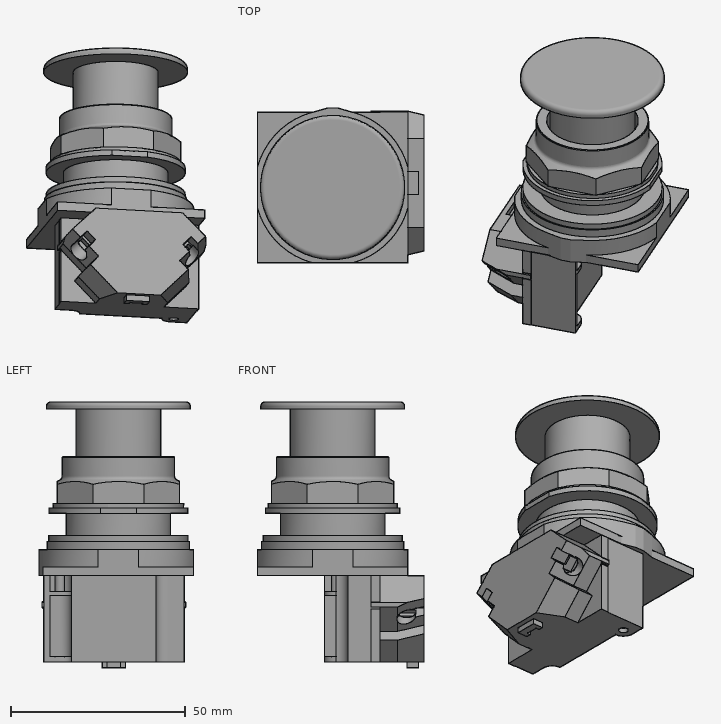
import cadquery as cq
import math

TAB_BOTTOM = 0.0
BLOCK_BOTTOM = 1.7
PLATE_BOTTOM = 26.35
PLATE_TOP = 28.9
FLANGE_TOP = 33.8
LOWER_STEP_TOP = 36.15
UPPER_STEP_TOP = 37.8
WASHER_BOTTOM = 44.15
WASHER_TOP = 45.7
NUT_BOTTOM = 46.95
COLLAR_TOP = 60.3
DISC_BOTTOM = 73.9
BUTTON_TOP = 76.0

DISC_RADIUS = 20.6
DISC_ROUNDING = 1.3
STEM_RADIUS = 12.15

PLATE_HALF = 21.5
FLANGE_RADIUS = 22.25
BUMP_REACH = 22.7
BUMP_TIP_HALF = 1.5
LOWER_STEP_RADIUS = 20.35
UPPER_STEP_RADIUS = 19.9
NECK_RADIUS = 15.0
WASHER_RADIUS = 19.9
WASHER_FLAT = 19.2
SPACER_RADIUS = 18.7
SPACER_FLAT = 18.45
NUT_SIDES = 8
NUT_FLAT_TO_FLAT = 35.0
NUT_CHAMFER_ANGLE = 30.0
NUT_FACE_TOP = 53.25
NUT_FILLET = 1.0
COLLAR_RADIUS = 16.1
COLLAR_CHAMFER = 0.2
BORE_RADIUS = 13.1
BORE_FLOOR = 54.5

BLOCK_Y = 1.3
BLOCK_FRONT = 1.0
PANEL_START = 10.95
TERMINAL_START = 13.5
BLOCK_END = 26.1
BLOCK_HALF = 20.0
PANEL_HALF = 20.1
RIB_HALF = 20.6
RIB_BOTTOM = 17.3
RIB_TOP = 18.7
PANEL_SLOT_BOTTOM = 16.9
PANEL_SLOT_TOP = 18.85
CORNER_RADIUS = 3.35
CORNER_OFFSET = 15.4

TERMINAL_TOP_HALF = 12.7
VALLEY_Z = 10.4
LOWER_TIP_Z = 7.9
BEVEL_START = 18.45
BEVEL_RISE = 1.8

SCREW_X = 21.1
SCREW_Z = 13.9
SCREW_RADIUS = 2.7
SCREW_DEPTH = 3.35
CHANNEL_WIDTH = 3.4
CHANNEL_DEPTH = 5.3
CHANNEL_SHIFT = 0.8
CLAMP_SLOT_LENGTH = 5.3
CLAMP_SLOT_WIDTH = 4.25
CLAMP_SLOT_DEPTH = 4.55

LUG_WALL = 1.7
LOWER_SHELF_TOP = 3.2
UPPER_SHELF_BOTTOM = 20.7
UPPER_SHELF_TOP = 21.9
LUG_PIN_RADIUS = 1.4

TAB_START = 21.2
TAB_END = 24.55
TAB_HALF = 3.35
TAB_HEIGHT = BLOCK_BOTTOM - TAB_BOTTOM
TAB_GROOVE_HALF = 1.9
TAB_GROOVE_DEPTH = 1.15

CUT_MARGIN = 7.6


def box(x0, x1, y0, y1, z0, z1):
    return cq.Workplane("XY").box(x1 - x0, y1 - y0, z1 - z0, centered=False).translate((x0, y0, z0))


def centred_box(x0, x1, half, z0, z1):
    """A box whose width is centred on the mid-plane of the contact block."""
    return box(x0, x1, BLOCK_Y - half, BLOCK_Y + half, z0, z1)


def cylinder(radius, z0, z1, x=0.0, y=0.0):
    return cq.Workplane("XY", origin=(x, y, z0)).circle(radius).extrude(z1 - z0)


def make_button():
    disc = cylinder(DISC_RADIUS, DISC_BOTTOM, BUTTON_TOP).faces(">Z").edges().fillet(DISC_ROUNDING)
    return disc.union(cylinder(STEM_RADIUS, BORE_FLOOR, DISC_BOTTOM))


def make_mounting_plate():
    """Square plate under a round flange that is trimmed to the square, with a bump on the +Y side."""
    square = centred_square(PLATE_BOTTOM, FLANGE_TOP)
    flange = cylinder(FLANGE_RADIUS, PLATE_BOTTOM, FLANGE_TOP).intersect(square)
    bump_root_half = math.sqrt(FLANGE_RADIUS**2 - PLATE_HALF**2)
    bump = (
        cq.Workplane("XY", origin=(0, 0, PLATE_BOTTOM))
        .moveTo(-bump_root_half, PLATE_HALF)
        .lineTo(-BUMP_TIP_HALF, BUMP_REACH)
        .lineTo(BUMP_TIP_HALF, BUMP_REACH)
        .lineTo(bump_root_half, PLATE_HALF)
        .lineTo(0, 0)
        .close()
        .extrude(FLANGE_TOP - PLATE_BOTTOM)
    )
    return centred_square(PLATE_BOTTOM, PLATE_TOP).union(flange).union(bump)


def centred_square(z0, z1):
    return box(-PLATE_HALF, PLATE_HALF, -PLATE_HALF, PLATE_HALF, z0, z1)


def flatted_ring(radius, flat, z0, z1):
    """A disc with two flats facing -X and +X."""
    return cylinder(radius, z0, z1).intersect(box(-flat, flat, -radius, radius, z0, z1))


def make_nut():
    """Octagonal nut whose top is a cone that runs into the collar through a fillet."""
    flat_radius = NUT_FLAT_TO_FLAT / 2
    corner_radius = flat_radius / math.cos(math.pi / NUT_SIDES)
    slope = math.tan(math.radians(NUT_CHAMFER_ANGLE))

    def cone_z(radius):
        return NUT_FACE_TOP + (flat_radius - radius) * slope

    octagon = (
        cq.Workplane("XY", origin=(0, 0, NUT_BOTTOM))
        .polygon(NUT_SIDES, 2 * corner_radius)
        .extrude(COLLAR_TOP - NUT_BOTTOM)
        .rotate((0, 0, 0), (0, 0, 1), 180 / NUT_SIDES)
    )
    rim_radius = corner_radius + CUT_MARGIN
    turned = (
        cq.Workplane("XZ")
        .moveTo(0, NUT_BOTTOM)
        .lineTo(rim_radius, NUT_BOTTOM)
        .lineTo(rim_radius, cone_z(rim_radius))
        .lineTo(COLLAR_RADIUS, cone_z(COLLAR_RADIUS))
        .lineTo(COLLAR_RADIUS, COLLAR_TOP)
        .lineTo(0, COLLAR_TOP)
        .close()
        .revolve(360, (0, 0, 0), (0, 1, 0))
    )
    collar_foot = cq.selectors.BoxSelector(
        (-rim_radius, -rim_radius, cone_z(COLLAR_RADIUS) - COLLAR_CHAMFER),
        (rim_radius, rim_radius, cone_z(COLLAR_RADIUS) + COLLAR_CHAMFER),
    )
    turned = turned.edges(collar_foot).edges("%CIRCLE").fillet(NUT_FILLET)
    turned = turned.faces(">Z").edges().chamfer(COLLAR_CHAMFER)
    return turned.intersect(octagon)


def make_operator():
    operator = (
        make_mounting_plate()
        .union(cylinder(LOWER_STEP_RADIUS, FLANGE_TOP, LOWER_STEP_TOP))
        .union(cylinder(UPPER_STEP_RADIUS, LOWER_STEP_TOP, UPPER_STEP_TOP))
        .union(cylinder(NECK_RADIUS, UPPER_STEP_TOP, WASHER_BOTTOM))
        .union(flatted_ring(WASHER_RADIUS, WASHER_FLAT, WASHER_BOTTOM, WASHER_TOP))
        .union(flatted_ring(SPACER_RADIUS, SPACER_FLAT, WASHER_TOP, NUT_BOTTOM))
        .union(make_nut())
    )
    return operator.cut(cylinder(BORE_RADIUS, BORE_FLOOR, COLLAR_TOP))


def slope_plane(x, half, z):
    """Plane on a -Y undercut: local x along X, local y square into the slope, normal up the slope."""
    return cq.Plane(origin=(x, BLOCK_Y - half, z), xDir=(1, 0, 0), normal=(0, -1, 1))


def make_bevel(half, z, start, end):
    """Wedge that trims an undercut deeper and deeper towards +X.

    It runs up the slope from start to end, both measured from the point (half, z).
    """
    run = BLOCK_END - BEVEL_START
    depth = BEVEL_RISE * math.sqrt(2)
    slope = slope_plane(BEVEL_START, half, z)
    return (
        cq.Workplane(slope)
        .polyline([(0, 0), (run, 0), (run, depth)])
        .close()
        .extrude(end - start)
        .translate(slope.zDir * start)
    )


def make_screw_hole(half, z):
    """Screw hole square to the upper undercut, over a clamp slot, with a wire channel to the +X face."""
    surface = slope_plane(SCREW_X, half, z)
    inward = cq.Plane(origin=surface.origin, xDir=surface.xDir, normal=surface.yDir)
    hole = cq.Workplane(inward).circle(SCREW_RADIUS).extrude(SCREW_DEPTH)
    channel = (
        cq.Workplane(surface)
        .workplane(offset=CHANNEL_SHIFT)
        .box(BLOCK_END - SCREW_X, CHANNEL_DEPTH, CHANNEL_WIDTH, centered=(False, False, True))
    )
    slot = (
        cq.Workplane(surface)
        .center(0, SCREW_DEPTH)
        .box(
            CLAMP_SLOT_LENGTH,
            CLAMP_SLOT_DEPTH - SCREW_DEPTH,
            CLAMP_SLOT_WIDTH,
            centered=(True, False, True),
        )
    )
    return hole.union(channel).union(slot)


def make_terminal_end():
    """The +X end, whose sides each carry two sawtooth ridges."""
    valley_half = RIB_HALF - (RIB_BOTTOM - VALLEY_Z)
    lower_tip_half = valley_half + (VALLEY_Z - LOWER_TIP_Z)
    foot_half = lower_tip_half - (LOWER_TIP_Z - BLOCK_BOTTOM)
    screw_half = RIB_HALF - (RIB_BOTTOM - SCREW_Z)
    side = [
        (TERMINAL_TOP_HALF, PLATE_BOTTOM),
        (RIB_HALF, RIB_TOP),
        (RIB_HALF, RIB_BOTTOM),
        (valley_half, VALLEY_Z),
        (lower_tip_half, LOWER_TIP_Z),
        (foot_half, BLOCK_BOTTOM),
    ]
    outline = side + [(-half, z) for half, z in reversed(side)]
    end = (
        cq.Workplane("YZ", origin=(TERMINAL_START, BLOCK_Y, 0))
        .polyline(outline)
        .close()
        .extrude(BLOCK_END - TERMINAL_START)
    )
    cuts = [
        make_bevel(valley_half, VALLEY_Z, 0, math.sqrt(2) * (RIB_TOP - VALLEY_Z)),
        make_bevel(foot_half, BLOCK_BOTTOM, -CUT_MARGIN, math.sqrt(2) * (LOWER_TIP_Z - BLOCK_BOTTOM)),
        make_screw_hole(screw_half, SCREW_Z),
    ]
    for cut in cuts:
        end = end.cut(cut).cut(cut.mirror("XZ", (0, BLOCK_Y, 0)))
    return end


def make_block_core():
    """Plain part of the block, with a concave quarter round down each of its two -X corners."""
    groove_bottom = BLOCK_FRONT + CORNER_RADIUS
    core = centred_box(BLOCK_FRONT, TERMINAL_START, BLOCK_HALF, BLOCK_BOTTOM, PLATE_BOTTOM)
    for side in (-1, 1):
        groove_y = BLOCK_Y + side * CORNER_OFFSET
        groove_edge = BLOCK_Y + side * BLOCK_HALF
        core = core.cut(cylinder(CORNER_RADIUS, BLOCK_BOTTOM, PLATE_BOTTOM, BLOCK_FRONT, groove_y))
        core = core.cut(
            box(
                BLOCK_FRONT,
                groove_bottom,
                min(groove_y, groove_edge),
                max(groove_y, groove_edge),
                BLOCK_BOTTOM,
                PLATE_BOTTOM,
            )
        )
    return core


def make_side_panels():
    """Slightly raised strips on both sides, slotted where the ribs pass."""
    panels = centred_box(PANEL_START, TERMINAL_START, PANEL_HALF, BLOCK_BOTTOM, PLATE_BOTTOM)
    slots = centred_box(PANEL_START, TERMINAL_START, PANEL_HALF, PANEL_SLOT_BOTTOM, PANEL_SLOT_TOP)
    ribs = centred_box(PANEL_START, TERMINAL_START, RIB_HALF, RIB_BOTTOM, RIB_TOP)
    return panels.cut(slots).union(ribs)


def make_shelf(z0, z1):
    """Shelf that fills the +Y corner groove and ends in a convex quarter round."""
    centre_y = BLOCK_Y + CORNER_OFFSET
    tip_x = BLOCK_FRONT - CORNER_RADIUS
    root_x = BLOCK_FRONT + CORNER_RADIUS
    diagonal = CORNER_RADIUS / math.sqrt(2)
    return (
        cq.Workplane("XY", origin=(0, 0, z0))
        .moveTo(root_x, centre_y - CORNER_RADIUS)
        .lineTo(BLOCK_FRONT, centre_y - CORNER_RADIUS)
        .threePointArc((BLOCK_FRONT - diagonal, centre_y - diagonal), (tip_x, centre_y))
        .lineTo(tip_x, BLOCK_Y + BLOCK_HALF)
        .lineTo(root_x, BLOCK_Y + BLOCK_HALF)
        .close()
        .extrude(z1 - z0)
    )


def make_lug():
    """Wall and two shelves at the +Y corner; the lower shelf is drilled, the upper carries a pin."""
    wall_y = BLOCK_Y + BLOCK_HALF
    wall = box(
        BLOCK_FRONT - CORNER_RADIUS,
        BLOCK_FRONT + CORNER_RADIUS,
        wall_y - LUG_WALL,
        wall_y,
        BLOCK_BOTTOM,
        PLATE_BOTTOM,
    )
    pin_y = BLOCK_Y + CORNER_OFFSET
    hole = cylinder(LUG_PIN_RADIUS, BLOCK_BOTTOM, LOWER_SHELF_TOP, BLOCK_FRONT, pin_y)
    lower_shelf = make_shelf(BLOCK_BOTTOM, LOWER_SHELF_TOP).cut(hole)
    upper_shelf = make_shelf(UPPER_SHELF_BOTTOM, UPPER_SHELF_TOP)
    pin = cylinder(LUG_PIN_RADIUS, UPPER_SHELF_TOP, PLATE_BOTTOM, BLOCK_FRONT, pin_y)
    return wall.union(lower_shelf).union(upper_shelf).union(pin)


def make_tab():
    """Locating tab with a groove in its -X side."""
    groove_end = TAB_START + TAB_GROOVE_DEPTH
    tab = centred_box(TAB_START, TAB_END, TAB_HALF, TAB_BOTTOM, BLOCK_BOTTOM)
    return tab.cut(centred_box(TAB_START, groove_end, TAB_GROOVE_HALF, TAB_BOTTOM, BLOCK_BOTTOM))


def make_contact_block():
    pocket = centred_box(TAB_START, TAB_END, TAB_HALF, PLATE_BOTTOM - TAB_HEIGHT, PLATE_BOTTOM)
    block = (
        make_block_core()
        .union(make_side_panels())
        .union(make_terminal_end())
        .union(make_lug())
        .union(make_tab())
    )
    return block.cut(pocket)


button = make_button().solids()
operator = make_operator().solids()
contact_block = make_contact_block().solids()

result = cq.Compound.makeCompound([button.val(), operator.val(), contact_block.val()])